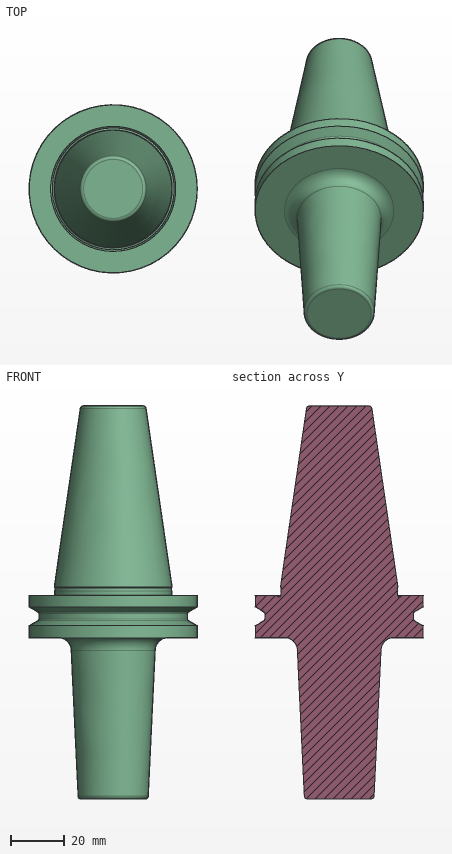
import cadquery as cq
import math

total_length = 148.4
gauge_height = 80.0
relief_drop = 0.5
relief_bottom = 78.5
flange_top = 76.9
flange_bottom = 60.8
neck_fillet = 4.7
nose_top = flange_bottom - neck_fillet

flange_radius = 31.8
gauge_radius = 22.3
collar_radius = 22.1
relief_radius = 22.0
nose_top_radius = 15.9
nose_end_radius = 13.2

taper_slope = 7 / 48
shank_end_radius = gauge_radius - (total_length - gauge_height) * taper_slope
shank_end_fillet = 1.3
nose_end_fillet = 1.2

groove_floor_radius = 28.0
groove_floor_bottom = 67.5
groove_floor_top = 70.3
groove_root_fillet = 0.7
groove_wall_angle = 30.0

recess_radius = 23.6
recess_depth = 0.6
recess_fillet = 0.9
recess_floor_radius = collar_radius + recess_fillet


def revolved(points):
    """Solid of revolution about Z from (radius, height) outline points."""
    return cq.Workplane("XZ").polyline(points).close().revolve(360, (0, 0, 0), (0, 1, 0))


def make_shank():
    shank = revolved([
        (0, flange_bottom),
        (collar_radius, flange_bottom),
        (collar_radius, relief_bottom),
        (relief_radius, gauge_height - relief_drop),
        (gauge_radius, gauge_height),
        (shank_end_radius, total_length),
        (0, total_length),
    ])
    return shank.faces(">Z").edges().fillet(shank_end_fillet)


def make_flange():
    wall_height = (flange_radius - groove_floor_radius) * math.tan(math.radians(groove_wall_angle))
    flange = revolved([
        (0, flange_bottom),
        (flange_radius, flange_bottom),
        (flange_radius, groove_floor_bottom - wall_height),
        (groove_floor_radius, groove_floor_bottom),
        (groove_floor_radius, groove_floor_top),
        (flange_radius, groove_floor_top + wall_height),
        (flange_radius, flange_top),
        (recess_radius, flange_top),
        (recess_floor_radius, flange_top - recess_depth),
        (0, flange_top - recess_depth),
    ])
    groove_roots = flange.edges(cq.selectors.RadiusNthSelector(-2))
    return groove_roots.fillet(groove_root_fillet)


def make_nose():
    nose = revolved([
        (0, 0),
        (nose_end_radius, 0),
        (nose_top_radius, nose_top),
        (nose_top_radius, flange_bottom),
        (0, flange_bottom),
    ])
    return nose.faces("<Z").edges().fillet(nose_end_fillet)


def make_corner_blend(radius, base_height, blend_radius, direction):
    """Concave quarter-round disc widening from radius to a face at base_height.

    The blend lies above the face for direction 1 and below it for direction -1.
    """
    center_radius = radius + blend_radius
    start_height = base_height + direction * blend_radius
    arc_reach = blend_radius * math.sqrt(0.5)
    return (
        cq.Workplane("XZ")
        .moveTo(0, base_height)
        .lineTo(center_radius, base_height)
        .threePointArc(
            (center_radius - arc_reach, start_height - direction * arc_reach),
            (radius, start_height),
        )
        .lineTo(0, start_height)
        .close()
        .revolve(360, (0, 0, 0), (0, 1, 0))
    )


neck_blend = make_corner_blend(nose_top_radius, flange_bottom, neck_fillet, -1)
collar_blend = make_corner_blend(collar_radius, flange_top - recess_depth, recess_fillet, 1)

result = make_flange().union(make_shank()).union(make_nose()).union(neck_blend).union(collar_blend)